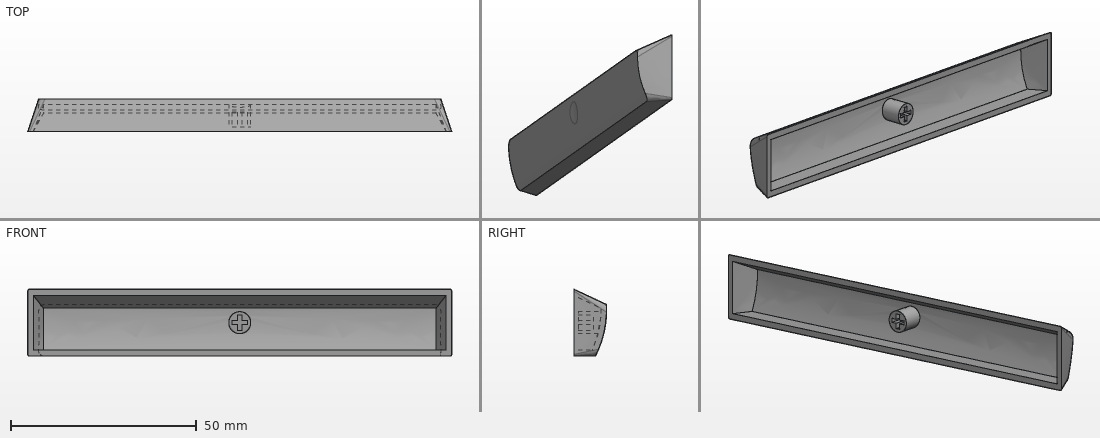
import cadquery as cq
import math

length = 114.0
height = 18.0
depth = 8.8
mouth_corner_radius = 0.5
crown_corner_radius = 2.0
end_inset = 2.8
upper_slope = 0.468

crown_radius = 26.5
crown_axis_y = depth - crown_radius
crown_axis_z = 12.3

end_wall = 1.5
long_wall = 1.7
crown_wall = 1.5
ceiling_inset = 2.75

stem_diameter = 5.9
stem_z = height / 2
stem_recess = 1.25
socket_span = 4.1
socket_width = 1.1
socket_depth = 4.0


def cylinder_y(z, radius):
    """Y of the surface of a cylinder about the crown axis, at height z."""
    return crown_axis_y + math.sqrt(radius**2 - (z - crown_axis_z) ** 2)


def rounded_outline(width, tall, corner_radius, plane):
    outline = cq.Sketch().rect(width, tall).vertices().fillet(corner_radius)
    return outline.moved(plane.location)


def make_shell():
    """Loft from the mouth to a plane touching the crown, trimmed by the crown cylinder."""
    upper_edge_z = height - upper_slope * depth
    tilt = math.atan2(depth - cylinder_y(0, crown_radius), upper_edge_z)
    touch_y = crown_axis_y + crown_radius * math.cos(tilt)
    touch_z = crown_axis_z - crown_radius * math.sin(tilt)

    rise = math.tan(tilt)
    low_y = touch_y - rise * touch_z
    top_z = (height - upper_slope * low_y) / (1 + upper_slope * rise)
    top_y = low_y + rise * top_z
    far_length = length - 2 * end_inset * top_y / depth

    mouth_plane = cq.Plane((0, 0, height / 2), xDir=(1, 0, 0), normal=(0, -1, 0))
    far_plane = cq.Plane(
        (0, (low_y + top_y) / 2, top_z / 2),
        xDir=(1, 0, 0),
        normal=(0, -math.cos(tilt), math.sin(tilt)),
    )
    mouth = rounded_outline(length, height, mouth_corner_radius, mouth_plane)
    far_end = rounded_outline(far_length, top_z / math.cos(tilt), crown_corner_radius, far_plane)
    body = cq.Workplane().placeSketch(mouth, far_end).loft(ruled=True)

    crown = (
        cq.Workplane("YZ")
        .center(crown_axis_y, crown_axis_z)
        .circle(crown_radius)
        .extrude(length / 2, both=True)
    )
    return body.intersect(crown)


def make_cavity():
    """Solid of the hollow: ruled walls between the mouth opening and the curved ceiling."""
    radius = crown_radius - crown_wall
    mouth_low_z = long_wall
    mouth_top_z = height - long_wall
    mouth_x = length / 2 - end_wall
    ceiling_x = mouth_x - ceiling_inset
    ceiling_top_z = mouth_top_z - upper_slope * (depth - crown_wall)
    ceiling_middle_z = (mouth_low_z + ceiling_top_z) / 2

    def ceiling_point(x, z):
        return cq.Vector(x, cylinder_y(z, radius), z)

    def mouth_line(side):
        start = cq.Vector(side * mouth_x, 0, mouth_low_z)
        end = cq.Vector(side * mouth_x, 0, mouth_top_z)
        return cq.Edge.makeLine(start, end)

    def ceiling_arc(side):
        x = side * ceiling_x
        heights = (mouth_low_z, ceiling_middle_z, ceiling_top_z)
        return cq.Edge.makeThreePointArc(*[ceiling_point(x, z) for z in heights])

    def long_wall_face(mouth_z, ceiling_z):
        corners = [
            cq.Vector(-mouth_x, 0, mouth_z),
            cq.Vector(mouth_x, 0, mouth_z),
            ceiling_point(ceiling_x, ceiling_z),
            ceiling_point(-ceiling_x, ceiling_z),
        ]
        return cq.Face.makeFromWires(cq.Wire.makePolygon(corners, close=True))

    faces = [
        cq.Face.makeRuledSurface(mouth_line(-1), mouth_line(1)),
        cq.Face.makeRuledSurface(ceiling_arc(-1), ceiling_arc(1)),
        cq.Face.makeRuledSurface(mouth_line(-1), ceiling_arc(-1)),
        cq.Face.makeRuledSurface(mouth_line(1), ceiling_arc(1)),
        long_wall_face(mouth_low_z, mouth_low_z),
        long_wall_face(mouth_top_z, ceiling_top_z),
    ]
    return cq.Workplane(cq.Solid.makeSolid(cq.Shell.makeShell(faces)).fix())


stem_tip = cq.Workplane("XZ", origin=(0, stem_recess, stem_z))


def make_stem(shell):
    """Round post from the stem tip up into the crown, kept inside the shell outline."""
    return stem_tip.circle(stem_diameter / 2).extrude(-depth).intersect(shell)


def make_socket():
    flat_arm = stem_tip.rect(socket_span, socket_width).extrude(-socket_depth)
    upright_arm = stem_tip.rect(socket_width, socket_span).extrude(-socket_depth)
    return flat_arm.union(upright_arm)


solid_cap = make_shell()
hollow_cap = solid_cap.cut(make_cavity())
result = hollow_cap.union(make_stem(solid_cap)).cut(make_socket()).solids()